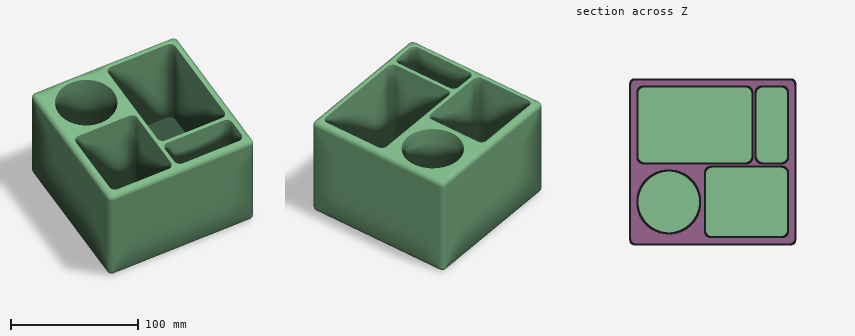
import cadquery as cq

side = 130.0
height = 90.0
edge_radius = 4.0

wall = 6.0
divider = 3.0
floor = 6.0
corner_radius = 5.0
depth = height - floor
cup_diameter = 49.0
back_length = 60.0
large_width = 90.0
front_right_width = 65.0

inner = side / 2 - wall
back_start = inner - back_length
front_end = back_start - divider
narrow_start = -inner + large_width + divider
front_right_start = inner - front_right_width


def rectangular_pocket(x_min, x_max, y_min, y_max):
    """Cutter for a round-cornered compartment, from the floor to the top face."""
    return (
        cq.Workplane("XY", origin=((x_min + x_max) / 2, (y_min + y_max) / 2, floor))
        .rect(x_max - x_min, y_max - y_min)
        .extrude(depth)
        .edges("|Z")
        .fillet(corner_radius)
    )


block = (
    cq.Workplane("XY")
    .box(side, side, height, centered=(True, True, False))
    .edges()
    .fillet(edge_radius)
)

large_pocket = rectangular_pocket(-inner, -inner + large_width, back_start, inner)
narrow_pocket = rectangular_pocket(narrow_start, inner, back_start, inner)

front_right_pocket = rectangular_pocket(front_right_start, inner, -inner, front_end)
cup_x = -inner + cup_diameter / 2
cup_y = (front_end - inner) / 2
cup = (
    cq.Workplane("XY", origin=(cup_x, cup_y, floor))
    .circle(cup_diameter / 2)
    .extrude(depth)
)

result = block.cut(large_pocket).cut(narrow_pocket).cut(front_right_pocket).cut(cup)